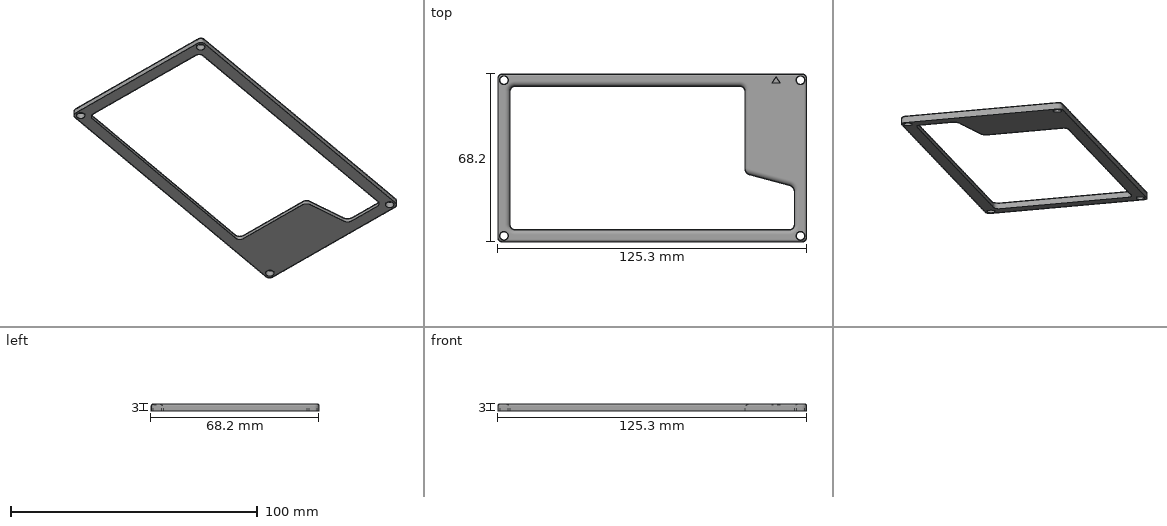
import cadquery as cq
import math

length = 125.3
width = 68.2
thickness = 3.0
corner_radius = 1.9
outer_edge_radius = 1.0

hole_diameter = 3.4
hole_inset = 2.5

rim = 5.0
panel_edge_x = 37.6
panel_corner_y = -6.3
panel_slope = 15.0
window_corner_radius = 2.0
bend_radius = 2.6
window_edge_radius = 2.0

arrow_x = 50.2
arrow_base_y = 30.5
arrow_width = 3.3
arrow_height = 2.5
arrow_depth = 0.5


def window_cutter():
    """Prism of the window, with all of its upright corners rounded."""
    right = length / 2 - rim
    top = width / 2 - rim
    slope_drop = (right - panel_edge_x) * math.tan(math.radians(panel_slope))
    corners = [
        (-right, -top, window_corner_radius),
        (right, -top, window_corner_radius),
        (right, panel_corner_y - slope_drop, bend_radius),
        (panel_edge_x, panel_corner_y, bend_radius),
        (panel_edge_x, top, window_corner_radius),
        (-right, top, window_corner_radius),
    ]
    outline = [(x, y) for x, y, _ in corners]
    cutter = cq.Workplane("XY").polyline(outline).close().extrude(thickness)
    for x, y, radius in corners:
        upright_edge = cq.selectors.NearestToPointSelector((x, y, thickness / 2))
        cutter = cutter.edges("|Z").edges(upright_edge).fillet(radius)
    return cutter


def arrow_cutter():
    """Shallow triangular prism sunk into the top face."""
    return (
        cq.Workplane("XY", origin=(arrow_x, arrow_base_y, thickness - arrow_depth))
        .polyline([(-arrow_width / 2, 0), (arrow_width / 2, 0), (0, arrow_height)])
        .close()
        .extrude(arrow_depth)
    )


plate = (
    cq.Workplane("XY")
    .box(length, width, thickness, centered=(True, True, False))
    .edges("|Z")
    .fillet(corner_radius)
    .faces(">Z")
    .edges()
    .fillet(outer_edge_radius)
)
frame = plate.cut(window_cutter())
window_rim = cq.selectors.AreaNthSelector(0)
frame = frame.faces(">Z").wires(window_rim).edges().fillet(window_edge_radius)

holes = (
    cq.Workplane("XY")
    .rect(length - 2 * hole_inset, width - 2 * hole_inset, forConstruction=True)
    .vertices()
    .circle(hole_diameter / 2)
    .extrude(thickness)
)

result = frame.cut(holes).cut(arrow_cutter())